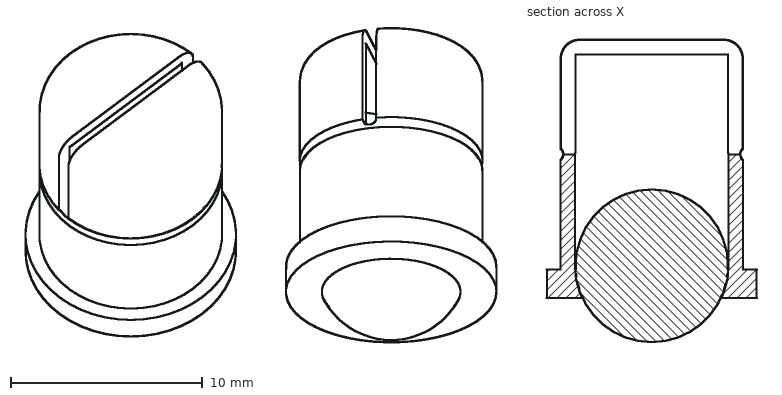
import cadquery as cq

total_height = 15.8
bottom_z = -total_height / 2
top_z = total_height / 2

ball_radius = 4.0
ball_protrusion = 2.3
ball_center_z = bottom_z + ball_radius

flange_radius = 5.5
flange_thickness = 1.5
barrel_radius = 4.77
top_fillet = 1.0
flange_bottom_z = bottom_z + ball_protrusion
barrel_height = top_z - flange_bottom_z

bore_radius = ball_radius
roof_thickness = barrel_radius - bore_radius
bore_height = top_z - roof_thickness - ball_center_z

groove_radius = 0.36
groove_center_z = top_z - 5.99
groove_depth = 0.15
groove_center_radius = barrel_radius - groove_depth + groove_radius

slot_width = 0.75
slot_depth = 5.99
slot_round_z = top_z - slot_depth + slot_width / 2


def make_ball():
    return cq.Workplane("XY").sphere(ball_radius).translate((0, 0, ball_center_z))


def make_outer_shell():
    """Filleted barrel standing on its flange."""
    barrel = (
        cq.Workplane("XY", origin=(0, 0, flange_bottom_z))
        .circle(barrel_radius)
        .extrude(barrel_height)
        .faces(">Z")
        .edges()
        .fillet(top_fillet)
    )
    flange = (
        cq.Workplane("XY", origin=(0, 0, flange_bottom_z))
        .circle(flange_radius)
        .extrude(flange_thickness)
    )
    return barrel.union(flange)


def make_groove():
    ring = cq.Solid.makeTorus(groove_center_radius, groove_radius, cq.Vector(0, 0, groove_center_z))
    return cq.Workplane(obj=ring)


def make_slot():
    """Slot running along Y through the whole barrel."""
    slot_length = 2 * flange_radius
    walls = cq.Workplane("XY", origin=(0, 0, slot_round_z)).rect(slot_width, slot_length).extrude(
        top_z - slot_round_z
    )
    floor = (
        cq.Workplane("XZ", origin=(0, 0, slot_round_z))
        .circle(slot_width / 2)
        .extrude(slot_length / 2, both=True)
    )
    return walls.union(floor)


def make_bore():
    return (
        cq.Workplane("XY", origin=(0, 0, ball_center_z))
        .circle(bore_radius)
        .extrude(bore_height)
    )


def make_housing(ball):
    """Housing whose spherical seat keeps the ball from dropping out of the bore."""
    return make_outer_shell().cut(make_groove()).cut(make_slot()).cut(make_bore()).cut(ball)


ball = make_ball()
housing = make_housing(ball)

result = cq.Compound.makeCompound([housing.val(), ball.val()])